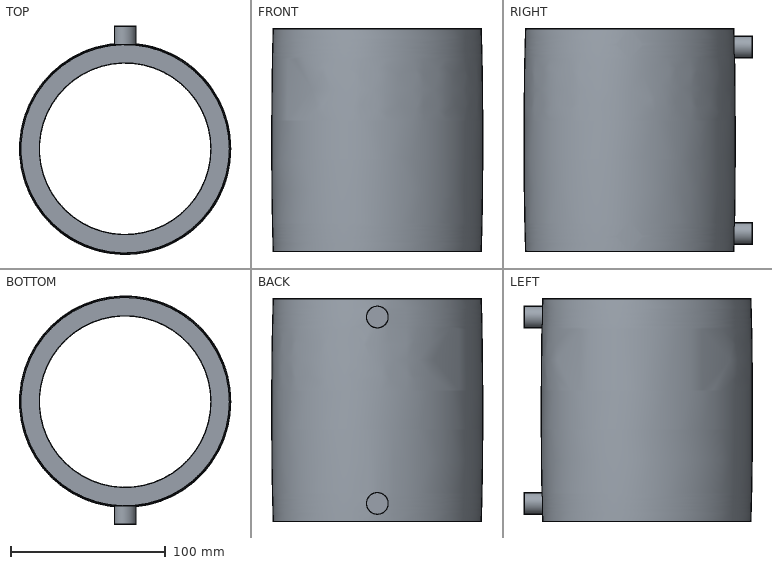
import cadquery as cq
import math

height = 144.0
mid_diameter = 136.5
end_radius = 67.3
bore_radius = 55.4
band_height = 25.4

pin_diameter = 14.0
overall_depth = 147.6
pin_end_offset = 11.8

half_height = height / 2
mid_radius = mid_diameter / 2
pin_tip_y = overall_depth - mid_radius
half_band = band_height / 2
wall_middle = (bore_radius + end_radius) / 2


def make_sleeve():
    """Revolve a wall with a straight middle band that narrows along arcs to both ends."""
    arc_length = half_height - half_band
    arc_drop = mid_radius - end_radius
    arc_radius = (arc_length**2 + arc_drop**2) / (2 * arc_drop)
    arc_mid_drop = arc_radius - math.sqrt(arc_radius**2 - (arc_length / 2) ** 2)
    arc_mid_radius = mid_radius - arc_mid_drop
    arc_mid_height = half_band + arc_length / 2
    return (
        cq.Workplane("XZ")
        .moveTo(bore_radius, -half_height)
        .lineTo(end_radius, -half_height)
        .threePointArc((arc_mid_radius, -arc_mid_height), (mid_radius, -half_band))
        .lineTo(mid_radius, half_band)
        .threePointArc((arc_mid_radius, arc_mid_height), (end_radius, half_height))
        .lineTo(bore_radius, half_height)
        .close()
        .revolve(360, (0, 0, 0), (0, 1, 0))
    )


def make_pin(z):
    """Round pin rooted inside the sleeve wall and pointing along +Y."""
    return (
        cq.Workplane("XZ", origin=(0, wall_middle, z))
        .circle(pin_diameter / 2)
        .extrude(-(pin_tip_y - wall_middle))
    )


result = make_sleeve()
pin_height = half_height - pin_end_offset
for z in (-pin_height, pin_height):
    result = result.union(make_pin(z))